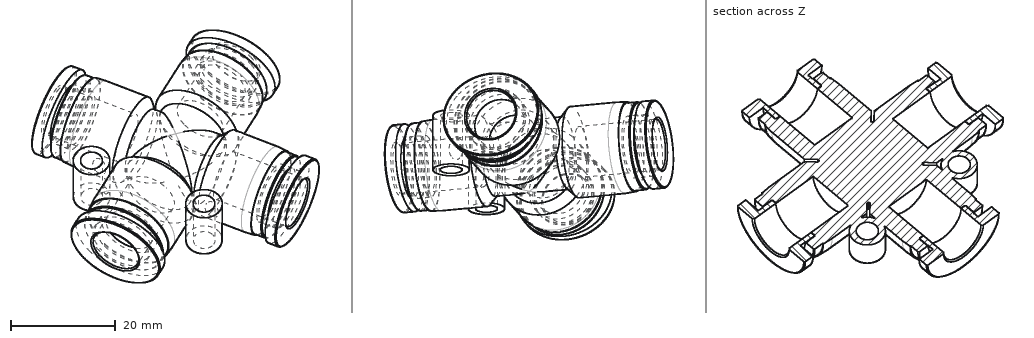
import cadquery as cq

SPAN = 52.2
PORT_END = SPAN / 2
PORT_ANGLES = (0, 90, 180, 270)

BARREL_RADIUS = 17.6 / 2
NECK_RADIUS = 14.0 / 2
CAP_RADIUS = 16.9 / 2
NECK_END = 7.35
BARREL_START = NECK_END + BARREL_RADIUS - NECK_RADIUS
TAPER_START = 18.3
TAPER_END = 20.35
TAPER_DROP = 0.15
CAP_END = 22.6
CAP_CHAMFER = 0.2

FLANGE_WIDTH = 19.0
FLANGE_HEIGHT = 16.65
FLANGE_THICKNESS = 2.3
FLANGE_CHAMFER = 0.2
COLLAR_RADIUS = 11.9 / 2
BORE_RADIUS = 9.75 / 2
BORE_CHAMFER = 0.3
SLEEVE_LENGTH = 5.9
SLEEVE_INNER_END = PORT_END - SLEEVE_LENGTH

SOCKET_FLOOR = 10.45

TUBE_RADIUS = 7.0 / 2
TUBE_HOLE_RADIUS = 4.2 / 2
TUBE_LENGTH = 10.95
TUBE_OFFSET = 12.0


def port_cylinder(radius, start, end):
    """Cylinder along +X between two distances from the centre."""
    return cq.Workplane("YZ").workplane(offset=start).circle(radius).extrude(end - start)


def around_cross(shape, angle):
    """Turn a +X port shape to the given port direction."""
    return shape.rotate((0, 0, 0), (0, 0, 1), angle)


def make_arm():
    """Stepped arm revolved about X, with a conical point mitred at the cross centre."""
    profile = [
        (0, 0),
        (NECK_RADIUS, NECK_RADIUS),
        (NECK_END, NECK_RADIUS),
        (BARREL_START, BARREL_RADIUS),
        (TAPER_START, BARREL_RADIUS),
        (TAPER_END, BARREL_RADIUS - TAPER_DROP),
        (TAPER_END, CAP_RADIUS),
        (CAP_END - CAP_CHAMFER, CAP_RADIUS),
        (CAP_END, CAP_RADIUS - CAP_CHAMFER),
        (CAP_END, 0),
    ]
    return cq.Workplane("XY").polyline(profile).close().revolve(360, (0, 0, 0), (1, 0, 0))


def make_housing():
    """Four-way cross with two mounting tubes and a stepped blind socket in each arm."""
    core = port_cylinder(NECK_RADIUS, -NECK_END, NECK_END)
    housing = core.union(around_cross(core, 90))
    for angle in PORT_ANGLES:
        housing = housing.union(around_cross(make_arm(), angle))

    tube_centers = [(-TUBE_OFFSET, -TUBE_OFFSET), (TUBE_OFFSET, -TUBE_OFFSET)]
    tube_base = cq.Workplane("XY").workplane(offset=-TUBE_LENGTH / 2).pushPoints(tube_centers)
    housing = housing.union(tube_base.circle(TUBE_RADIUS).extrude(TUBE_LENGTH))
    housing = housing.cut(tube_base.circle(TUBE_HOLE_RADIUS).extrude(TUBE_LENGTH))

    sleeve_seat = port_cylinder(COLLAR_RADIUS, SLEEVE_INNER_END, CAP_END)
    socket = sleeve_seat.union(port_cylinder(BORE_RADIUS, SOCKET_FLOOR, CAP_END))
    for angle in PORT_ANGLES:
        housing = housing.cut(around_cross(socket, angle))
    return housing


def make_sleeve(angle):
    """Release sleeve with an oval flange, seated in the arm at the given angle."""
    flange_back = PORT_END - FLANGE_THICKNESS
    flange = (
        cq.Workplane("YZ")
        .workplane(offset=flange_back)
        .ellipse(FLANGE_WIDTH / 2, FLANGE_HEIGHT / 2)
        .extrude(FLANGE_THICKNESS)
        .faces(">X")
        .chamfer(FLANGE_CHAMFER)
    )
    sleeve = flange.union(port_cylinder(COLLAR_RADIUS, SLEEVE_INNER_END, flange_back))
    sleeve = sleeve.cut(port_cylinder(BORE_RADIUS, SLEEVE_INNER_END, PORT_END))
    bore_mouth = sleeve.faces(">X").edges(cq.selectors.RadiusNthSelector(0))
    return around_cross(bore_mouth.chamfer(BORE_CHAMFER), angle)


housing = make_housing()
sleeves = [make_sleeve(angle) for angle in PORT_ANGLES]

result = cq.Compound.makeCompound([housing.val(), *[sleeve.val() for sleeve in sleeves]])